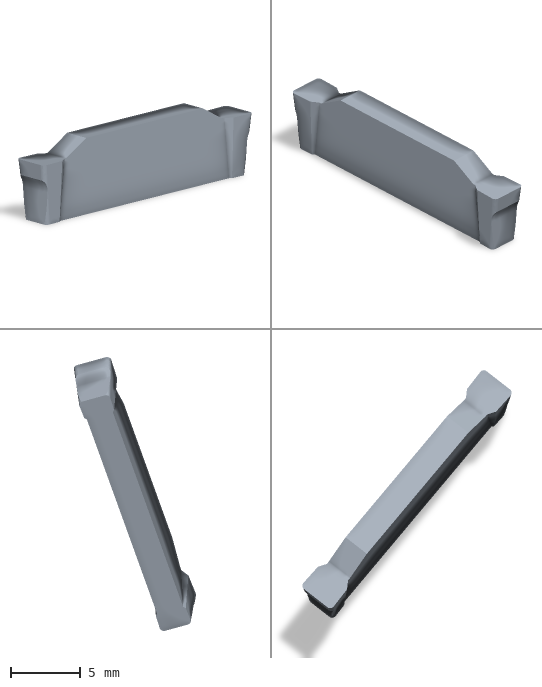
import cadquery as cq
import math

length = 20.8
head_width = 2.79
height = 5.68
body_width = 1.95

head_height = 4.55
ramp_angle = 30.0
ramp_top_inset = 4.62
ramp_fillet = 0.25

corner_radius = 0.31
side_relief_angle = 2.0
side_draft_angle = 3.0
front_draft_angle = 6.5
rear_corner_inset_top = 1.91
rear_corner_inset_bottom = 1.85
neck_inset_top = 2.48
neck_inset_bottom = 2.02

lip_height = 1.19
clearance_arc_height = 0.9
clearance_inset = 0.52

end_y = length / 2
side_relief = math.radians(side_relief_angle)
front_setback = head_height * math.tan(math.radians(front_draft_angle))
side_setback = head_height * math.tan(math.radians(side_draft_angle))


def make_body():
    """Constant-width bar with a ramp at both ends, reaching into the heads."""
    bar_end = end_y - rear_corner_inset_top
    ramp_top = end_y - ramp_top_inset
    ramp_foot = ramp_top + (height - head_height) / math.tan(math.radians(ramp_angle))
    bar = (
        cq.Workplane("YZ")
        .moveTo(-bar_end, 0)
        .lineTo(bar_end, 0)
        .lineTo(bar_end, head_height)
        .lineTo(ramp_foot, head_height)
        .lineTo(ramp_top, height)
        .lineTo(-ramp_top, height)
        .lineTo(-ramp_foot, head_height)
        .lineTo(-bar_end, head_height)
        .close()
        .extrude(body_width / 2, both=True)
    )
    for foot in (-ramp_foot, ramp_foot):
        foot_edge = cq.selectors.NearestToPointSelector((0, foot, head_height))
        bar = bar.edges(foot_edge).fillet(ramp_fillet)
    return bar


def head_outline(half_width, front_inset, rear_corner_inset, neck_inset):
    """Sharp-cornered outline whose sides are half_width out once the corners are rounded."""
    arc_center_x = half_width - corner_radius
    front_x = arc_center_x + corner_radius * (1 + math.sin(side_relief)) / math.cos(side_relief)
    rear_x = front_x - (rear_corner_inset - front_inset) * math.tan(side_relief)
    right_side = [
        (front_x, front_inset - end_y),
        (rear_x, rear_corner_inset - end_y),
        (body_width / 2, neck_inset - end_y),
    ]
    left_side = [(-x, y) for x, y in reversed(right_side)]
    return right_side + left_side


def make_clearance():
    """Cutter that removes the front of the head below its lip."""
    lip_z = head_height - lip_height
    arc_end_z = lip_z - clearance_arc_height
    lip_inset = lip_height * math.tan(math.radians(front_draft_angle))
    lip_y = lip_inset - end_y
    face_y = clearance_inset - end_y
    depth = clearance_inset - lip_inset
    radius = (depth**2 + clearance_arc_height**2) / (2 * depth)
    half_sweep = math.atan(depth / clearance_arc_height)
    arc_middle = (
        face_y - radius * (1 - math.cos(half_sweep)),
        arc_end_z + radius * math.sin(half_sweep),
    )
    return (
        cq.Workplane("YZ")
        .moveTo(-end_y, 0)
        .lineTo(face_y, 0)
        .lineTo(face_y, arc_end_z)
        .threePointArc(arc_middle, (lip_y, lip_z))
        .lineTo(-end_y, lip_z)
        .close()
        .extrude(head_width, both=True)
    )


def make_head():
    """Drafted cutting head at the -Y end."""
    bottom = head_outline(
        head_width / 2 - side_setback, front_setback, rear_corner_inset_bottom, neck_inset_bottom
    )
    top = head_outline(head_width / 2, 0, rear_corner_inset_top, neck_inset_top)
    head = (
        cq.Workplane("XY")
        .polyline(bottom)
        .close()
        .workplane(offset=head_height)
        .polyline(top)
        .close()
        .loft(ruled=True)
    )
    for x in (-head_width / 2, head_width / 2):
        corner = cq.selectors.NearestToPointSelector((x, -end_y, head_height / 2))
        head = head.edges(corner).fillet(corner_radius)
    return head.cut(make_clearance())


head = make_head()
result = make_body().union(head).union(head.mirror("XZ"))